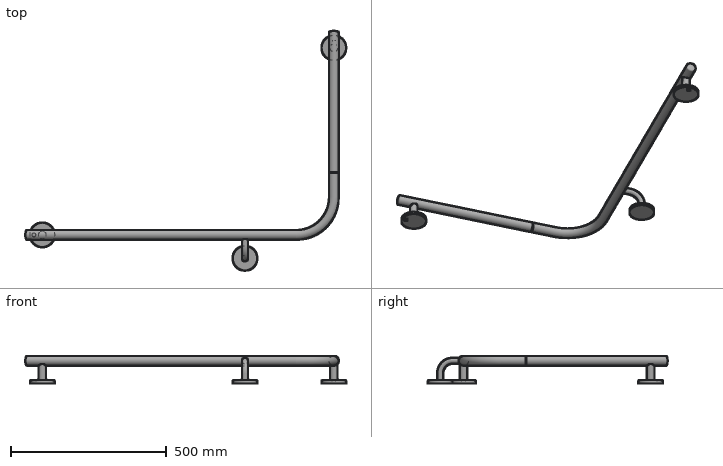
import cadquery as cq
import math

rail_dia = 32.0
rail_axis_z = 73.5
bend_radius = 120.0
long_leg = 990.0
short_leg = 655.0

joint_from_end = 453.0
joint_width = 3.0
joint_depth = 0.5

cap_length = 7.0
cap_rounding = 5.0

flange_dia = 80.0
flange_height = 12.0
flange_rounding = 5.5
weld_radius = 2.5

post_dia = 25.0
post_inset = 55.0

screw_hole_dia = 12.0
screw_hole_offset = 27.0

arm_dia = 20.0
arm_x = 705.0
arm_reach = 75.0
arm_bend_radius = 40.0

rail_radius = rail_dia / 2


def make_rail():
    """L-shaped round rail in a horizontal plane, without its end caps."""
    path = (
        cq.Workplane("XY", origin=(cap_length, 0, rail_axis_z))
        .lineTo(long_leg - bend_radius - cap_length, 0)
        .radiusArc((long_leg - cap_length, bend_radius), -bend_radius)
        .lineTo(long_leg - cap_length, short_leg - cap_length)
    )
    return (
        cq.Workplane("YZ", origin=(cap_length, 0, rail_axis_z))
        .circle(rail_radius)
        .sweep(path)
    )


def make_cap():
    """Cap standing on the XY plane: a rounded rim running smoothly into a shallow dome towards +Z."""
    rim_centre = rail_radius - cap_rounding
    dome_radius = (rim_centre**2 + cap_length**2 - cap_rounding**2) / (2 * (cap_length - cap_rounding))
    tangent_angle = math.atan2(dome_radius - cap_length, rim_centre)
    tangent_point = (
        rim_centre + cap_rounding * math.cos(tangent_angle),
        cap_rounding * math.sin(tangent_angle),
    )
    profile = (
        cq.Workplane("XZ")
        .lineTo(rail_radius, 0)
        .radiusArc(tangent_point, -cap_rounding)
        .radiusArc((0, cap_length), -dome_radius)
        .close()
    )
    return profile.revolve(360, (0, 0, 0), (0, 1, 0))


def make_joint_groove():
    """Ring that cuts the shallow joint groove around the short leg."""
    plane = cq.Plane(
        origin=(long_leg, short_leg - joint_from_end, rail_axis_z),
        xDir=(1, 0, 0),
        normal=(0, -1, 0),
    )
    return (
        cq.Workplane(plane)
        .circle(rail_radius + joint_depth)
        .circle(rail_radius - joint_depth)
        .extrude(joint_width)
    )


def make_flange(x, y, stem_dia):
    """Round flange with a rounded upper rim and a weld fillet around its stem."""
    stem_radius = stem_dia / 2
    rim = flange_dia / 2
    weld_top = flange_height + weld_radius
    profile = (
        cq.Workplane("XZ")
        .lineTo(rim, 0)
        .lineTo(rim, flange_height - flange_rounding)
        .radiusArc((rim - flange_rounding, flange_height), -flange_rounding)
        .lineTo(stem_radius + weld_radius, flange_height)
        .radiusArc((stem_radius, weld_top), weld_radius)
        .lineTo(0, weld_top)
        .close()
    )
    return profile.revolve(360, (0, 0, 0), (0, 1, 0)).translate((x, y, 0))


def make_post(x, y):
    """Straight post from the floor up to the rail axis."""
    return cq.Workplane("XY", origin=(x, y, 0)).circle(post_dia / 2).extrude(rail_axis_z)


def make_screw_hole(x, y):
    """Cutter for a through hole in a post flange."""
    return cq.Workplane("XY", origin=(x, y, 0)).circle(screw_hole_dia / 2).extrude(flange_height)


def make_arm():
    """Side arm rising from its flange and bending over into the rail."""
    path = (
        cq.Workplane("YZ", origin=(arm_x, 0, 0))
        .moveTo(-arm_reach, 0)
        .lineTo(-arm_reach, rail_axis_z - arm_bend_radius)
        .radiusArc((arm_bend_radius - arm_reach, rail_axis_z), arm_bend_radius)
        .lineTo(0, rail_axis_z)
    )
    return (
        cq.Workplane("XY", origin=(arm_x, -arm_reach, 0))
        .circle(arm_dia / 2)
        .sweep(path)
    )


x_cap = make_cap().rotate((0, 0, 0), (0, 1, 0), -90).translate((cap_length, 0, rail_axis_z))
y_cap = make_cap().rotate((0, 0, 0), (1, 0, 0), -90).translate(
    (long_leg, short_leg - cap_length, rail_axis_z)
)

result = make_rail().cut(make_joint_groove()).union(x_cap).union(y_cap)
result = result.union(make_arm()).union(make_flange(arm_x, -arm_reach, arm_dia))

posts = [
    ((post_inset, 0), (-1, 0)),
    ((long_leg, short_leg - post_inset), (0, 1)),
]
for (post_x, post_y), (end_x, end_y) in posts:
    hole = make_screw_hole(post_x + end_x * screw_hole_offset, post_y + end_y * screw_hole_offset)
    flange = make_flange(post_x, post_y, post_dia).cut(hole)
    result = result.union(make_post(post_x, post_y)).union(flange)